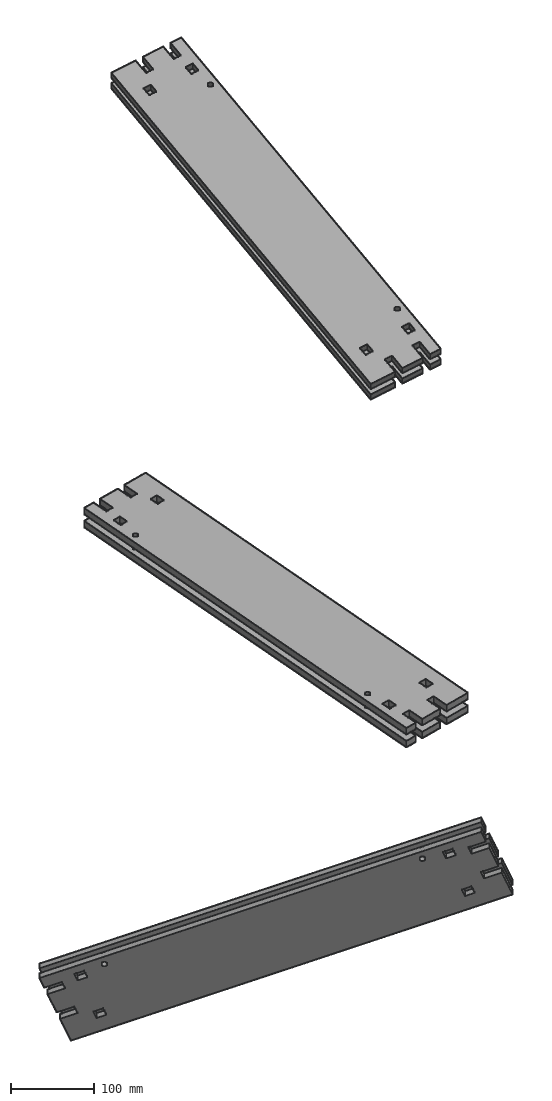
import cadquery as cq

length = 572.0
width = 100.0
stack_height = 30.0
plate_thickness = stack_height / 3
plate_pitch = stack_height - plate_thickness
plate_count = 2

slot_depth = 23.0
slot_width = 10.5
slot_offsets = (20.5, 60.0)

window_length = 12.5
window_width = 10.5
window_inset = 47.5
window_offsets = (15.5, 75.5)

hole_diameter = 7.0
hole_inset = 80.0
hole_offset = 10.5


def mirrored_points(inset, offsets):
    """Points at both ends of the plate, measured from its ends and back edge."""
    x = length / 2 - inset
    return [(side * x, width / 2 - offset) for side in (-1, 1) for offset in offsets]


def make_plate(bottom):
    """One plate with its end slots, windows and holes, resting at height bottom."""
    plate = cq.Workplane("XY").workplane(offset=bottom).rect(length, width).extrude(plate_thickness)
    face = plate.faces(">Z").workplane(origin=(0, 0, bottom + plate_thickness))

    plate = face.pushPoints(mirrored_points(0, slot_offsets)).rect(2 * slot_depth, slot_width).cutThruAll()

    windows = mirrored_points(window_inset, window_offsets)
    plate = plate.pushPoints(windows).rect(window_length, window_width).cutThruAll()

    holes = mirrored_points(hole_inset, (hole_offset,))
    return plate.pushPoints(holes).circle(hole_diameter / 2).cutThruAll()


plates = [make_plate(index * plate_pitch) for index in range(plate_count)]

result = cq.Compound.makeCompound([plate.val() for plate in plates])